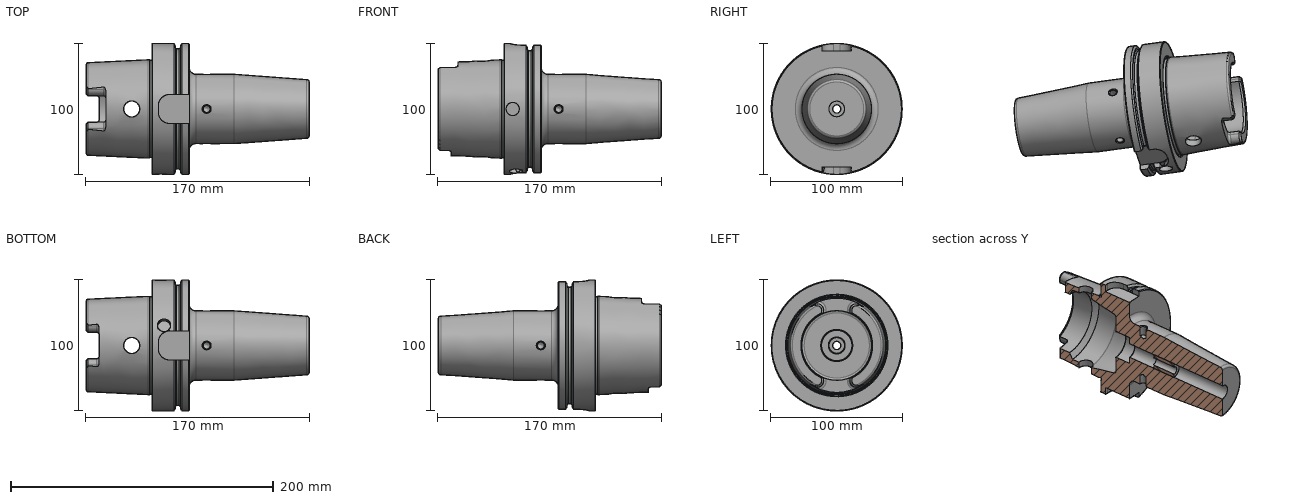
import cadquery as cq
import math


total_length = 170.0
flange_start = 50.0
flange_end = 78.5
taper_end = 47.3
nose_taper_start = 112.7

flange_radius = 50.0
taper_base_radius = 37.5
taper_tip_radius = 35.4
shank_radius = 26.5
nose_radius = 22.5
nose_edge_round = 2.0
nose_edge_drop = 1.9
shank_fillet = 5.1
flange_front_edge = 0.5
flange_back_edge = 0.7
tip_round = 1.5
slot_bevel = 1.5

land_end = 48.1
neck_start = 48.6
neck_radius = 37.2
recess_depth = 0.7
recess_floor_radius = 38.5
recess_outer_radius = 39.1

groove_center = 69.9
groove_mouth_width = 6.3
groove_throat_width = 3.9
groove_floor_width = 2.0
groove_throat_radius = 48.1
groove_bevel_radius = 46.8
groove_floor_radius = 45.9

mouth_radius = 26.5
mouth_chamfer = 0.8
mouth_chamfer_length = 1.5
mouth_length = 19.5
chamber_radius = 31.5
shoulder_angle = 60.0
chamber_end = 64.6
chamber_taper_start = 39.8
chamber_floor_radius = 24.8
chamber_floor_fillet = 2.0
thread_radius = 11.5
thread_chamfer = 0.7
thread_end = 78.2
bore_radius = 6.0
bore_chamfer = 0.5

slot_width = 20.0
slot_wall_height = 27.0
slot_flare_radius = 4.8
slot_floor_fillet = 1.9
upper_slot_depth = 15.0
lower_slot_depth = 9.9

notch_start = 54.9
notch_width = 22.1
notch_corner_radius = 8.7
notch_floor_height = 44.0

cross_hole_x = 34.7
cross_hole_diameter = 12.0
flange_hole_diameter = 10.0
flange_hole_depth = 4.6
data_hole_x = 56.8
data_hole_angle = 90.0
side_hole_x = 59.3
side_hole_angle = 162.0
balance_hole_x = 91.8
balance_hole_diameter = 5.3
balance_sink_diameter = 7.0
balance_hole_depth = 8.5
balance_hole_count = 4
drill_tip_angle = 118.0

screw_start = 102.0
screw_length = 20.4
screw_hole_radius = 3.0

overshoot = 8.5


def revolve_about_x(profile):
    return profile.close().revolve(360, (0, 0, 0), (1, 0, 0))


def turned_body():
    profile = (
        cq.Workplane("XY")
        .moveTo(0, 0)
        .lineTo(0, taper_tip_radius - tip_round)
        .radiusArc((tip_round, taper_tip_radius), tip_round)
        .lineTo(taper_end, taper_base_radius)
        .lineTo(land_end, taper_base_radius)
        .lineTo(neck_start, neck_radius)
        .lineTo(flange_start + recess_depth, neck_radius)
        .lineTo(flange_start + recess_depth, recess_floor_radius)
        .lineTo(flange_start, recess_outer_radius)
        .lineTo(flange_start, flange_radius - flange_front_edge)
        .lineTo(flange_start + flange_front_edge, flange_radius)
        .lineTo(flange_end - flange_back_edge, flange_radius)
        .lineTo(flange_end, flange_radius - flange_back_edge)
        .lineTo(flange_end, shank_radius + shank_fillet)
        .radiusArc((flange_end + shank_fillet, shank_radius), -shank_fillet)
        .lineTo(nose_taper_start, shank_radius)
        .lineTo(total_length - nose_edge_round, nose_radius)
        .radiusArc((total_length, nose_radius - nose_edge_drop), nose_edge_round)
        .lineTo(total_length, 0)
    )
    return revolve_about_x(profile)


def gripper_groove():
    half_mouth = groove_mouth_width / 2
    half_throat = groove_throat_width / 2
    half_floor = groove_floor_width / 2
    profile = (
        cq.Workplane("XY")
        .moveTo(groove_center - half_mouth, flange_radius + overshoot)
        .lineTo(groove_center - half_mouth, flange_radius)
        .lineTo(groove_center - half_throat, groove_throat_radius)
        .lineTo(groove_center - half_throat, groove_bevel_radius)
        .lineTo(groove_center - half_floor, groove_floor_radius)
        .lineTo(groove_center + half_floor, groove_floor_radius)
        .lineTo(groove_center + half_throat, groove_bevel_radius)
        .lineTo(groove_center + half_throat, groove_throat_radius)
        .lineTo(groove_center + half_mouth, flange_radius)
        .lineTo(groove_center + half_mouth, flange_radius + overshoot)
    )
    return revolve_about_x(profile)


def internal_cavity():
    shoulder_length = (chamber_radius - mouth_radius) / math.tan(math.radians(shoulder_angle))
    profile = (
        cq.Workplane("XY")
        .moveTo(0, 0)
        .lineTo(0, mouth_radius + mouth_chamfer)
        .lineTo(mouth_chamfer_length, mouth_radius)
        .lineTo(mouth_length, mouth_radius)
        .lineTo(mouth_length + shoulder_length, chamber_radius)
        .lineTo(chamber_taper_start, chamber_radius)
        .lineTo(chamber_end - chamber_floor_fillet, chamber_floor_radius + chamber_floor_fillet)
        .radiusArc((chamber_end, chamber_floor_radius), chamber_floor_fillet)
        .lineTo(chamber_end, thread_radius + thread_chamfer)
        .lineTo(chamber_end + thread_chamfer, thread_radius)
        .lineTo(thread_end, thread_radius)
        .lineTo(thread_end, bore_radius + bore_chamfer)
        .lineTo(thread_end + bore_chamfer, bore_radius)
        .lineTo(total_length, bore_radius)
        .lineTo(total_length, 0)
    )
    return revolve_about_x(profile)


def slot_section(x, growth):
    """Closed slot section at station x, with every wall set back by growth."""
    half_width = slot_width / 2 + growth
    flare_radius = slot_flare_radius - growth
    flare_y = half_width + flare_radius
    flare_z = slot_wall_height + flare_radius
    outer = taper_base_radius + overshoot
    return (
        cq.Workplane("YZ", origin=(x, 0, 0))
        .moveTo(-half_width, 0)
        .lineTo(-half_width, slot_wall_height)
        .radiusArc((-flare_y, flare_z), -flare_radius)
        .lineTo(-outer, flare_z)
        .lineTo(-outer, outer)
        .lineTo(outer, outer)
        .lineTo(outer, flare_z)
        .lineTo(flare_y, flare_z)
        .radiusArc((half_width, slot_wall_height), -flare_radius)
        .lineTo(half_width, 0)
        .close()
    )


def drive_slot(depth):
    """Slot cutter on the +Z side; its walls curve outward into a flat near the outer surface."""
    channel = slot_section(0, 0).extrude(depth).faces(">X").edges().fillet(slot_floor_fillet)
    tip_section = slot_section(0, slot_bevel).val()
    inner_section = slot_section(slot_bevel, 0).val()
    tip_bevel = cq.Workplane(cq.Solid.makeLoft([tip_section, inner_section], True))
    return channel.union(tip_bevel)


def flange_notch():
    """Notch cutter on the +Z side with two rounded corners, open toward +X."""
    length = flange_end + overshoot - notch_start
    height = flange_radius + overshoot - notch_floor_height
    return (
        cq.Workplane("XY", origin=(notch_start, 0, notch_floor_height))
        .rect(length, notch_width)
        .extrude(height)
        .translate((length / 2, 0, 0))
        .edges("|Z and <X")
        .fillet(notch_corner_radius)
    )


def turn_about_x(shape, angle):
    return shape.rotate((0, 0, 0), (1, 0, 0), angle)


def flange_hole(x):
    """Flat-bottomed blind hole cutter entering the flange rim from the +Z side."""
    return (
        cq.Workplane("XY", origin=(x, 0, flange_radius - flange_hole_depth))
        .circle(flange_hole_diameter / 2)
        .extrude(flange_hole_depth + overshoot)
    )


def balance_hole():
    """Countersunk drilled hole with a conical bottom, entering from the +Z side."""
    hole_radius = balance_hole_diameter / 2
    sink_radius = balance_sink_diameter / 2
    sink_depth = sink_radius - hole_radius
    tip_depth = hole_radius / math.tan(math.radians(drill_tip_angle / 2))
    bottom = shank_radius - balance_hole_depth
    profile = (
        cq.Workplane("XZ")
        .moveTo(0, bottom - tip_depth)
        .lineTo(hole_radius, bottom)
        .lineTo(hole_radius, shank_radius - sink_depth)
        .lineTo(sink_radius, shank_radius)
        .lineTo(sink_radius, shank_radius + overshoot)
        .lineTo(0, shank_radius + overshoot)
        .close()
    )
    return profile.revolve(360, (0, 0, 0), (0, 1, 0)).translate((balance_hole_x, 0, 0))


def make_holder():
    holder = turned_body().cut(gripper_groove()).cut(internal_cavity())

    holder = holder.cut(drive_slot(upper_slot_depth))
    holder = holder.cut(turn_about_x(drive_slot(lower_slot_depth), 180))

    for angle in (0, 180):
        holder = holder.cut(turn_about_x(flange_notch(), angle))

    cross_hole = (
        cq.Workplane("XY", origin=(cross_hole_x, 0, 0))
        .circle(cross_hole_diameter / 2)
        .extrude(taper_base_radius + overshoot, both=True)
    )
    holder = holder.cut(cross_hole)

    for x, angle in ((data_hole_x, data_hole_angle), (side_hole_x, side_hole_angle)):
        holder = holder.cut(turn_about_x(flange_hole(x), angle))

    for index in range(balance_hole_count):
        holder = holder.cut(turn_about_x(balance_hole(), index * 360 / balance_hole_count))
    return holder


def make_stop_screw():
    return (
        cq.Workplane("YZ", origin=(screw_start, 0, 0))
        .circle(bore_radius)
        .circle(screw_hole_radius)
        .extrude(screw_length)
    )


holder = make_holder()
stop_screw = make_stop_screw()
result = cq.Compound.makeCompound([holder.val(), stop_screw.val()])